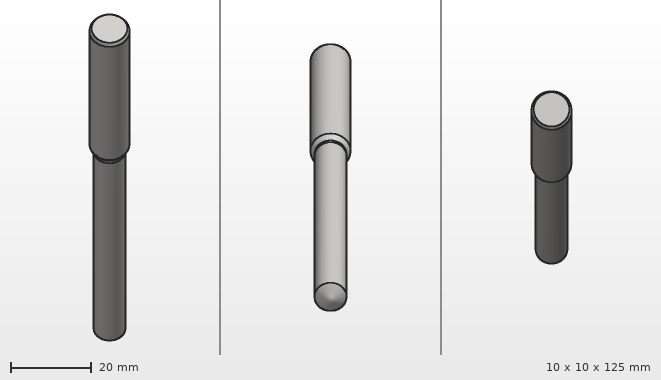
import cadquery as cq
import math

total_length = 125.0
shank_diameter = 10.0
drill_diameter = 8.0
drill_length = 75.0
point_angle = 120.0

shank_length = 47.3
top_chamfer_height = 1.0
bevel_angle = 30.0

shank_radius = shank_diameter / 2
drill_radius = drill_diameter / 2
point_height = drill_radius / math.tan(math.radians(point_angle / 2))
taper_length = (shank_radius - drill_radius) / math.tan(math.radians(bevel_angle))
top_chamfer_inset = top_chamfer_height * math.tan(math.radians(bevel_angle))

taper_top = total_length - shank_length
taper_bottom = taper_top - taper_length


def revolve_profile(points):
    """Turn a closed (radius, height) outline around the Z axis."""
    return cq.Workplane("XZ").polyline(points).close().revolve(360, (0, 0), (0, 1))


shank = revolve_profile([
    (0, drill_length),
    (drill_radius, drill_length),
    (drill_radius, taper_bottom),
    (shank_radius, taper_top),
    (shank_radius, total_length - top_chamfer_height),
    (shank_radius - top_chamfer_inset, total_length),
    (0, total_length),
])

drill_body = revolve_profile([
    (0, 0),
    (drill_radius, point_height),
    (drill_radius, drill_length),
    (0, drill_length),
])

result = cq.Compound.makeCompound([shank.val(), drill_body.val()])